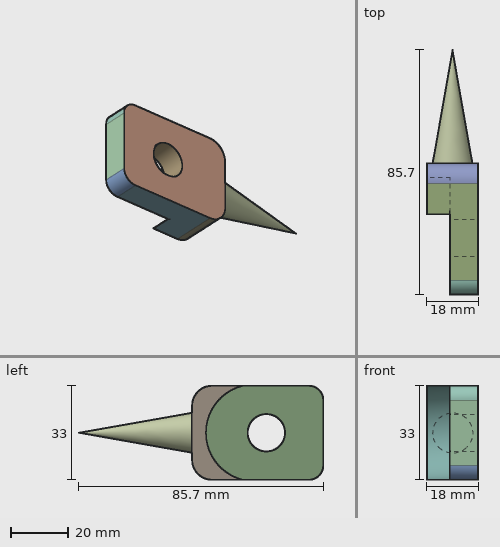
import cadquery as cq

width = 18.0
total_length = 85.7
height = 33.0
body_length = 46.0
plate_thickness = 9.9
front_corner_radius = 5.05
rear_corner_radius = 7.0

recess_radius = 17.0
recess_center_y = 24.2
recess_depth = width - plate_thickness

hole_diameter = 13.0
hole_center_y = 20.0

spike_base_radius = 7.0
spike_length = total_length - body_length


def make_body():
    """Block with rounded vertical-plane corners, extruded along X."""
    body = cq.Workplane("XY").box(width, body_length, height, centered=(False, False, True))
    body = body.faces("<Y").edges("|X").fillet(front_corner_radius)
    return body.faces(">Y").edges("|X").fillet(rear_corner_radius)


def make_recess():
    """Round-ended clearance that opens through the front end of the body."""
    round_end = cq.Workplane("YZ").center(recess_center_y, 0).circle(recess_radius).extrude(recess_depth)
    open_end = cq.Workplane("XY").box(
        recess_depth, recess_center_y, 2 * recess_radius, centered=(False, False, True)
    )
    return round_end.union(open_end)


def make_hole():
    """Round hole through the plate along X."""
    return cq.Workplane("YZ").center(hole_center_y, 0).circle(hole_diameter / 2).extrude(width)


def make_spike():
    """Pointed cone on the rear end, centred across the body."""
    cone = cq.Solid.makeCone(
        spike_base_radius,
        0,
        spike_length,
        pnt=cq.Vector(width / 2, body_length, 0),
        dir=cq.Vector(0, 1, 0),
    )
    return cq.Workplane(obj=cone)


result = make_body().cut(make_recess()).cut(make_hole()).union(make_spike())